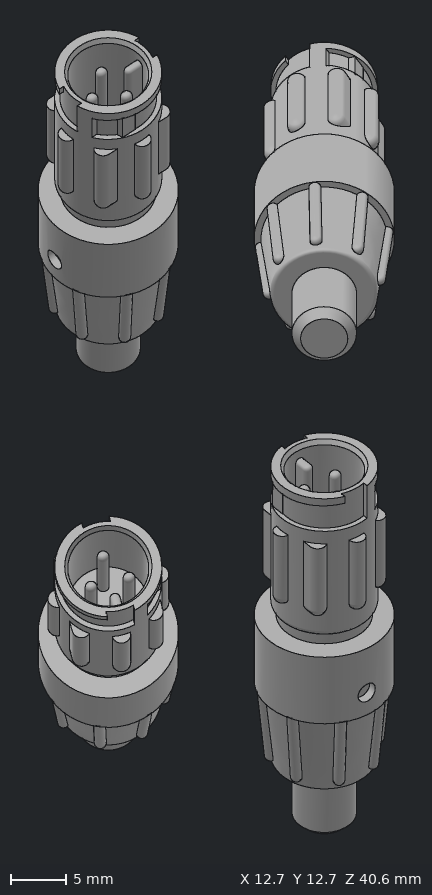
import cadquery as cq
import math

TOTAL_HEIGHT = 40.64
CONE_BOTTOM = 7.14
NUT_BOTTOM = 15.97
NUT_TOP = 23.61
BODY_BOTTOM = 24.76
BAYONET_SHOULDER = 36.91

CABLE_RADIUS = 2.93
CABLE_CHAMFER = 0.8
CONE_BOTTOM_RADIUS = 4.84
CONE_TOP_RADIUS = 5.72
CONE_EDGE_FILLET = 0.37
NUT_RADIUS = 6.35
NECK_RADIUS = 4.37
BODY_RADIUS = 4.85
BODY_EDGE_FILLET = 0.635

BORE_RADIUS = 3.66
BORE_DEPTH = 10.0
BORE_CHAMFER_RADIAL = 0.28
BORE_CHAMFER_AXIAL = 0.48
BORE_FLOOR = TOTAL_HEIGHT - BORE_DEPTH
PIN_RADIUS = 0.54
PIN_TIP_Z = TOTAL_HEIGHT - 1.9
PIN_POSITIONS = [(-1.77, 0.68), (1.77, 0.68), (0, -1.88)]
KEY_RADIUS = 0.47
KEY_NOSE_Y = 2.48
KEY_TOP = TOTAL_HEIGHT - 1.4
MARK_RADIUS = 0.2
MARK_POSITION = (-0.99, 2.07)
MARK_DEPTH = 0.2

SLOT_HALF_WIDTH = 1.27
GROOVE_END_X = -2.62
LIP_THICKNESS_AT_SLOT = 0.78
LIP_THICKNESS_AT_END = 1.03
BUMP_START = 0.45
BUMP_FACE_END = 1.94
BUMP_BASE_END = 2.1
BUMP_FACE_X = -4.4
BUMP_BACK_X = -3.0

GRIP_COUNT = 8
GRIP_RADIUS = 0.85
GRIP_CENTER_RADIUS = 4.77
GRIP_TOP = 35.47
GRIP_DOME_Z = 28.21

CONE_RIB_COUNT = 8
CONE_RIB_RADIUS = 0.55
CONE_RIB_DOME_Z = 8.43
CONE_RIB_BOTTOM_CENTER = 5.06
CONE_RIB_TOP_CENTER = 5.75
CONE_RIB_OVERLAP = 0.1

NUT_HOLE_RADIUS = 0.98
NUT_HOLE_Z = 18.5
NUT_HOLE_DEPTH = 0.9

CUT_REACH = NUT_RADIUS


def cylinder(radius, bottom, top, x=0, y=0):
    return cq.Workplane("XY", origin=(x, y, bottom)).circle(radius).extrude(top - bottom)


def sphere(radius, x, y, z):
    return cq.Workplane("XY", origin=(x, y, z)).sphere(radius)


def make_turned_body():
    cable = cylinder(CABLE_RADIUS, 0, CONE_BOTTOM).faces("<Z").chamfer(CABLE_CHAMFER)
    cone = (
        cq.Workplane("XZ")
        .moveTo(0, CONE_BOTTOM)
        .lineTo(CONE_BOTTOM_RADIUS, CONE_BOTTOM)
        .lineTo(CONE_TOP_RADIUS, NUT_BOTTOM)
        .lineTo(0, NUT_BOTTOM)
        .close()
        .revolve(360, (0, 0, 0), (0, 1, 0))
        .faces("<Z")
        .edges()
        .fillet(CONE_EDGE_FILLET)
    )
    nut = cylinder(NUT_RADIUS, NUT_BOTTOM, NUT_TOP)
    neck = cylinder(NECK_RADIUS, NUT_TOP, BODY_BOTTOM + BODY_EDGE_FILLET)
    body = cylinder(BODY_RADIUS, BODY_BOTTOM, TOTAL_HEIGHT).faces("<Z").edges().fillet(BODY_EDGE_FILLET)
    return cable.union(cone).union(nut).union(neck).union(body)


def make_socket_cut():
    mouth_radius = BORE_RADIUS + BORE_CHAMFER_RADIAL
    return (
        cq.Workplane("XZ")
        .moveTo(0, BORE_FLOOR)
        .lineTo(BORE_RADIUS, BORE_FLOOR)
        .lineTo(BORE_RADIUS, TOTAL_HEIGHT - BORE_CHAMFER_AXIAL)
        .lineTo(mouth_radius, TOTAL_HEIGHT)
        .lineTo(0, TOTAL_HEIGHT)
        .close()
        .revolve(360, (0, 0, 0), (0, 1, 0))
    )


def make_pin(x, y):
    dome_z = PIN_TIP_Z - PIN_RADIUS
    return cylinder(PIN_RADIUS, BORE_FLOOR, dome_z, x, y).union(sphere(PIN_RADIUS, x, y, dome_z))


def make_key():
    """Wall from the bore to a rounded nose, with a rounded top edge."""
    crest_z = KEY_TOP - KEY_RADIUS
    wall_y = (BORE_RADIUS + NECK_RADIUS) / 2
    length = wall_y - KEY_NOSE_Y
    web = (
        cq.Workplane("XY", origin=(0, KEY_NOSE_Y + length / 2, BORE_FLOOR))
        .rect(2 * KEY_RADIUS, length)
        .extrude(crest_z - BORE_FLOOR)
    )
    crest = cq.Workplane("XZ", origin=(0, KEY_NOSE_Y, crest_z)).circle(KEY_RADIUS).extrude(-length)
    nose = cylinder(KEY_RADIUS, BORE_FLOOR, crest_z, 0, KEY_NOSE_Y)
    nose_tip = sphere(KEY_RADIUS, 0, KEY_NOSE_Y, crest_z)
    return web.union(crest).union(nose).union(nose_tip)


def make_bayonet_cut():
    """Entry slot on the -Y side and the ramped groove running from it past -X."""
    height = TOTAL_HEIGHT - BAYONET_SHOULDER
    base = cq.Workplane("XY", origin=(0, 0, BAYONET_SHOULDER))
    ring = base.circle(CUT_REACH).circle(NECK_RADIUS).extrude(height)
    slot = (
        base.moveTo(-SLOT_HALF_WIDTH, -CUT_REACH)
        .lineTo(SLOT_HALF_WIDTH, -CUT_REACH)
        .lineTo(SLOT_HALF_WIDTH, 0)
        .lineTo(-SLOT_HALF_WIDTH, 0)
        .close()
        .extrude(height)
    )
    groove_plan = (
        base.moveTo(0, -CUT_REACH)
        .lineTo(-CUT_REACH, -CUT_REACH)
        .lineTo(-CUT_REACH, CUT_REACH)
        .lineTo(GROOVE_END_X, CUT_REACH)
        .lineTo(GROOVE_END_X, 0)
        .lineTo(0, 0)
        .close()
        .extrude(height)
    )
    under_lip = (
        cq.Workplane("YZ", origin=(-CUT_REACH, 0, 0))
        .moveTo(-BODY_RADIUS, BAYONET_SHOULDER)
        .lineTo(BODY_RADIUS, BAYONET_SHOULDER)
        .lineTo(BODY_RADIUS, TOTAL_HEIGHT - LIP_THICKNESS_AT_END)
        .lineTo(-BODY_RADIUS, TOTAL_HEIGHT - LIP_THICKNESS_AT_SLOT)
        .close()
        .extrude(2 * CUT_REACH)
    )
    bump_root_x = -math.sqrt(NECK_RADIUS**2 - BUMP_BASE_END**2)
    bump = (
        base.moveTo(BUMP_FACE_X, BUMP_START)
        .lineTo(BUMP_FACE_X, BUMP_FACE_END)
        .lineTo(bump_root_x, BUMP_BASE_END)
        .lineTo(BUMP_BACK_X, BUMP_BASE_END)
        .lineTo(BUMP_BACK_X, BUMP_START)
        .close()
        .extrude(height)
    )
    groove = groove_plan.intersect(under_lip).cut(bump)
    return ring.intersect(slot.union(groove))


def make_grip(angle):
    """Round rib with a domed foot; diagonal ribs are filled square toward the X axis."""
    x = GRIP_CENTER_RADIUS * math.cos(math.radians(angle))
    y = GRIP_CENTER_RADIUS * math.sin(math.radians(angle))
    rib = cylinder(GRIP_RADIUS, GRIP_DOME_Z, GRIP_TOP, x, y)
    rib = rib.union(sphere(GRIP_RADIUS, x, y, GRIP_DOME_Z))
    if angle % 90:
        side = math.copysign(1, y)
        fill_length = abs(y) / 2
        web = (
            cq.Workplane("XY", origin=(x, y - side * fill_length / 2, GRIP_DOME_Z))
            .rect(2 * GRIP_RADIUS, fill_length)
            .extrude(GRIP_TOP - GRIP_DOME_Z)
        )
        foot = (
            cq.Workplane("XZ", origin=(x, y, GRIP_DOME_Z))
            .circle(GRIP_RADIUS)
            .extrude(side * fill_length)
        )
        rib = rib.union(web).union(foot)
    return rib


def make_cone_rib(angle):
    """Round rib leaning with the cone, domed at its lower end."""
    rise = NUT_BOTTOM + CONE_RIB_OVERLAP - CONE_RIB_DOME_Z
    lean = CONE_RIB_TOP_CENTER - CONE_RIB_BOTTOM_CENTER
    foot = cq.Vector(CONE_RIB_BOTTOM_CENTER, 0, CONE_RIB_DOME_Z)
    shaft = cq.Solid.makeCylinder(
        CONE_RIB_RADIUS, math.hypot(rise, lean), foot, cq.Vector(lean, 0, rise)
    )
    dome = sphere(CONE_RIB_RADIUS, *foot.toTuple())
    return cq.Workplane(shaft).union(dome).rotate((0, 0, 0), (0, 0, 1), angle)


def make_nut_hole():
    return (
        cq.Workplane("XZ", origin=(0, -NUT_RADIUS, NUT_HOLE_Z))
        .circle(NUT_HOLE_RADIUS)
        .extrude(-NUT_HOLE_DEPTH)
    )


result = make_turned_body()

for index in range(GRIP_COUNT):
    result = result.union(make_grip(index * 360 / GRIP_COUNT))

cone_rib_pitch = 360 / CONE_RIB_COUNT
for index in range(CONE_RIB_COUNT):
    result = result.union(make_cone_rib((index + 0.5) * cone_rib_pitch))

result = result.cut(make_socket_cut())
for pin_x, pin_y in PIN_POSITIONS:
    result = result.union(make_pin(pin_x, pin_y))
result = result.union(make_key())
mark_x, mark_y = MARK_POSITION
result = result.cut(cylinder(MARK_RADIUS, BORE_FLOOR - MARK_DEPTH, BORE_FLOOR, mark_x, mark_y))

bayonet_cut = make_bayonet_cut()
for angle in (0, 180):
    result = result.cut(bayonet_cut.rotate((0, 0, 0), (0, 0, 1), angle))

result = result.cut(make_nut_hole())